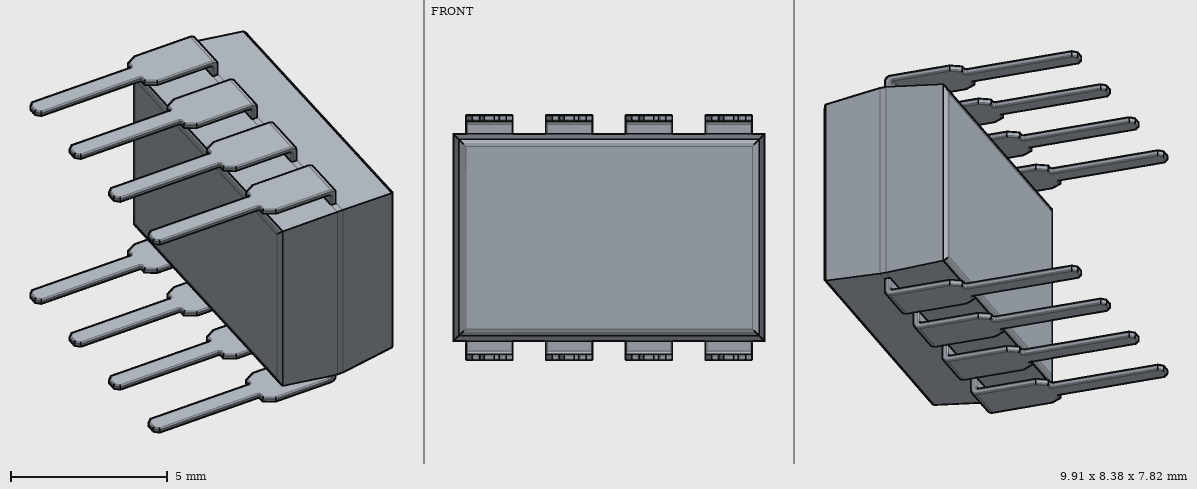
import cadquery as cq
import math

body_length = 9.91
body_height = 6.6
body_depth = 4.2
band_width = 0.2
draft_angle = 5.0
rim_depth = 0.1
rear_rim_width = 0.16
front_rim_width = 0.23

leads_per_side = 4
lead_row_length = 7.62
lead_pitch = lead_row_length / (leads_per_side - 1)
lead_span = 7.82
lead_thickness = band_width
lead_width = 1.5
pin_width = 0.61
lead_reach = 6.28
bend_outer_radius = 0.2
bend_inner_radius = 0.1
taper_start = 2.13
taper_end = 2.49
taper_inset = 0.21
neck_fillet = 0.05
tip_chamfer = 0.15
rim_fillet = 0.05

half_band = band_width / 2
LENGTH_TOLERANCE = 0.0001


def rim_arc(rim_width):
    """Rim points as (distance in from the drafted side, distance in from the face).

    The arc is tangent to the face and meets the drafted side at an edge.
    Returns its middle point and its end on the face.
    """
    radius = (rim_width**2 + rim_depth**2) / (2 * rim_depth)
    half_sweep = math.asin(rim_width / radius) / 2
    middle = (rim_width - radius * math.sin(half_sweep), radius * (1 - math.cos(half_sweep)))
    return middle, (rim_width, 0)


def body_outline(plane, half_size):
    """Drafted closed outline; local x runs across the body and local y along Y."""
    half_depth = body_depth / 2
    drafted_length = half_depth - half_band - rim_depth
    side_x = half_size - drafted_length * math.tan(math.radians(draft_angle))
    side_y = half_depth - rim_depth

    def rim_points(rim_width, x_sign, y_sign):
        return [
            (x_sign * (side_x - inset), y_sign * (half_depth - below_face))
            for inset, below_face in rim_arc(rim_width)
        ]

    front_right_middle, front_right_end = rim_points(front_rim_width, 1, -1)
    front_left_middle, front_left_end = rim_points(front_rim_width, -1, -1)
    rear_right_middle, rear_right_end = rim_points(rear_rim_width, 1, 1)
    rear_left_middle, rear_left_end = rim_points(rear_rim_width, -1, 1)

    return (
        cq.Workplane(plane)
        .moveTo(*front_right_end)
        .threePointArc(front_right_middle, (side_x, -side_y))
        .lineTo(half_size, -half_band)
        .lineTo(half_size, half_band)
        .lineTo(side_x, side_y)
        .threePointArc(rear_right_middle, rear_right_end)
        .lineTo(*rear_left_end)
        .threePointArc(rear_left_middle, (-side_x, side_y))
        .lineTo(-half_size, half_band)
        .lineTo(-half_size, -half_band)
        .lineTo(-side_x, -side_y)
        .threePointArc(front_left_middle, front_left_end)
        .close()
    )


def make_housing():
    """Two crossed prisms share one volume: a block drafted on all four sides."""
    across_x = body_outline("XY", body_length / 2).extrude(body_height / 2, both=True)
    cross_plane = cq.Plane(origin=(0, 0, 0), xDir=(0, 0, 1), normal=(-1, 0, 0))
    across_z = body_outline(cross_plane, body_height / 2).extrude(body_length / 2, both=True)
    return across_x.intersect(across_z)


def make_bent_strip():
    """Full-width strip rising from the top of the band and bending towards -Y."""
    root_z = body_height / 2
    outer_z = lead_span / 2
    inner_z = outer_z - lead_thickness
    strip = (
        cq.Workplane("YZ")
        .moveTo(half_band, root_z)
        .lineTo(half_band, outer_z)
        .lineTo(-lead_reach, outer_z)
        .lineTo(-lead_reach, inner_z)
        .lineTo(-half_band, inner_z)
        .lineTo(-half_band, root_z)
        .close()
        .extrude(lead_width / 2, both=True)
    )
    strip = strip.edges(">Z and >Y").fillet(bend_outer_radius)
    inner_corner = cq.selectors.NearestToPointSelector((0, -half_band, inner_z))
    return strip.edges(inner_corner).fillet(bend_inner_radius)


def make_lead_blank():
    """Plan shape of a lead: wide shoulder, tapered end, narrow pin with a chamfered tip."""
    half_lead = lead_width / 2
    half_pin = pin_width / 2
    right_side = [
        (half_lead, half_band),
        (half_lead, -taper_start),
        (half_lead - taper_inset, -taper_end),
        (half_pin, -taper_end),
        (half_pin, tip_chamfer - lead_reach),
        (half_pin - tip_chamfer, -lead_reach),
    ]
    left_side = [(-x, y) for x, y in reversed(right_side)]
    blank = cq.Workplane("XY").polyline(right_side + left_side).close().extrude(lead_span / 2)
    for side in (-1, 1):
        neck = cq.selectors.NearestToPointSelector((side * half_pin, -taper_end, lead_span / 4))
        blank = blank.edges(neck).fillet(neck_fillet)
    return blank


def is_rim_edge(edge):
    """True for the long strip edges, not for bend lines, root edges or thickness edges."""
    length = edge.Length()
    crosses_strip = abs(length - lead_width) < LENGTH_TOLERANCE
    crosses_thickness = abs(length - lead_thickness) < LENGTH_TOLERANCE
    return not (crosses_strip or crosses_thickness)


def make_lead():
    """One lead of the upper row, centred on X = 0."""
    lead = make_bent_strip().intersect(make_lead_blank())
    rim_edges = [edge for edge in lead.edges().vals() if is_rim_edge(edge)]
    return lead.newObject(rim_edges).fillet(rim_fillet)


housing = make_housing()

upper_lead = make_lead()
lower_lead = upper_lead.mirror("XY")
leads = []
for index in range(leads_per_side):
    lead_x = index * lead_pitch - lead_row_length / 2
    for row_lead in (upper_lead, lower_lead):
        leads.append(row_lead.translate((lead_x, 0, 0)).val())

result = cq.Compound.makeCompound([housing.val(), *leads])